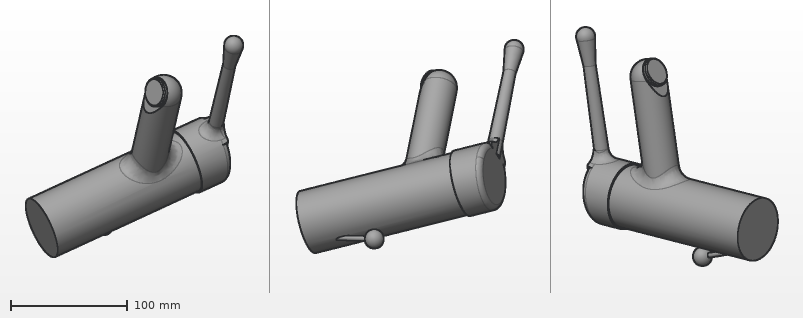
import cadquery as cq
import math

BODY_RADIUS = 27.6
CAP_START = 142.5
CAP_RADIUS = 29.13
CAP_END = 172.0
CAP_EDGE_FILLET = 5.0

TILT = 10.0

SPOUT_RADIUS = 15.6
DOME_Y = 121.0
DOME_Z = 112.7
SPOUT_FILLET = 13.0
OUTLET_Y = 114.7
OUTLET_Z = 117.7
OUTLET_RISE = 32.5
AERATOR_RADIUS = 12.5
AERATOR_HEIGHT = 3.8
AERATOR_CHAMFER = 1.2

BALL_RADIUS = 8.4
LEVER_BALL_Y = 190.5
LEVER_BALL_Z = 134.5
GRIP_LENGTH = 25.0
LEVER_NECK_RADIUS = 5.47
LEVER_LENGTH = 99.5
LEVER_BASE_RADIUS = 6.4
LEVER_ROOT = 16.0
FLARE_RADIUS = 10.0

PULL_BALL_Y = 61.2
PULL_BALL_Z = -37.4
PULL_ROD_RADIUS = 2.2
PULL_ROD_LENGTH = 47.7
PULL_RISE = 19.0

CUTTER_SIZE = 159.0

SPOUT_EDGE_BOX = cq.selectors.BoxSelector((-39.8, 39.8, 4), (39.8, 139.2, 39.8))
FOOT_EDGE_BOX = cq.selectors.BoxSelector((-12, 159, 19.9), (12, 188.9, 35.8))


def mid_plane(y, z, rise, toward_y):
    """Plane centred in X whose normal climbs at the rise angle towards +Y (1) or -Y (-1)."""
    angle = math.radians(rise)
    normal = (0, toward_y * math.cos(angle), math.sin(angle))
    return cq.Plane(origin=(0, y, z), xDir=(1, 0, 0), normal=normal)


def half_space(plane):
    """Large block filling the side of the plane that its normal points to."""
    return cq.Workplane(plane).rect(CUTTER_SIZE, CUTTER_SIZE).extrude(CUTTER_SIZE)


def ball(y, z, radius):
    return cq.Workplane("XY").sphere(radius).translate((0, y, z))


def make_body():
    front = cq.Workplane("XZ")
    return front.circle(BODY_RADIUS).extrude(-CAP_START)


def make_spout_body():
    """Body with the domed spout blended into it, cut flat at the outlet."""
    axis_plane = mid_plane(DOME_Y, DOME_Z, 90 - TILT, 1)
    length = DOME_Z / math.cos(math.radians(TILT))
    stem = cq.Workplane(axis_plane).circle(SPOUT_RADIUS).extrude(-length)
    joined = make_body().union(stem)
    joined = joined.edges(SPOUT_EDGE_BOX).edges("not %LINE").fillet(SPOUT_FILLET)
    joined = joined.union(ball(DOME_Y, DOME_Z, SPOUT_RADIUS))

    outlet_plane = mid_plane(OUTLET_Y, OUTLET_Z, OUTLET_RISE, -1)
    aerator = cq.Workplane(outlet_plane).circle(AERATOR_RADIUS).extrude(AERATOR_HEIGHT)
    aerator = aerator.faces(cq.selectors.DirectionMinMaxSelector(outlet_plane.zDir)).chamfer(AERATOR_CHAMFER)
    return joined.cut(half_space(outlet_plane)).union(aerator)


def make_cap_blank():
    """Plain cap cylinder, long enough to be trimmed by the sloped end face."""
    return cq.Workplane("XZ", origin=(0, CAP_START, 0)).circle(CAP_RADIUS).extrude(-CUTTER_SIZE / 2)


def make_cap(end_plane):
    cap = make_cap_blank().cut(half_space(end_plane))
    return cap.faces(">Y").edges().fillet(CAP_EDGE_FILLET)


def make_lever_foot(axis_plane, end_plane):
    """Flared blend between the lever and the cap, flush with the cap end face."""
    stub = cq.Workplane(axis_plane).circle(LEVER_BASE_RADIUS).extrude(-LEVER_LENGTH - LEVER_ROOT)
    blank = make_cap_blank().union(stub)
    blank = blank.edges(FOOT_EDGE_BOX).edges("not %LINE").fillet(FLARE_RADIUS)
    blank = blank.cut(half_space(end_plane))
    foot_zone = (
        cq.Workplane(axis_plane)
        .workplane(offset=-LEVER_LENGTH - LEVER_ROOT)
        .circle(LEVER_BASE_RADIUS + FLARE_RADIUS)
        .extrude(LEVER_ROOT)
    )
    return blank.intersect(foot_zone)


def make_lever(end_plane):
    """Tapered lever with a widening grip, a ball end and a flared foot."""
    axis_plane = mid_plane(LEVER_BALL_Y, LEVER_BALL_Z, 90 - TILT, 1)
    profile_plane = cq.Plane(
        origin=(0, LEVER_BALL_Y, LEVER_BALL_Z),
        xDir=(1, 0, 0),
        normal=cq.Vector(1, 0, 0).cross(axis_plane.zDir),
    )
    bottom = -LEVER_LENGTH - LEVER_ROOT
    stick = (
        cq.Workplane(profile_plane)
        .lineTo(BALL_RADIUS, 0)
        .lineTo(LEVER_NECK_RADIUS, -GRIP_LENGTH)
        .lineTo(LEVER_BASE_RADIUS, -LEVER_LENGTH)
        .lineTo(LEVER_BASE_RADIUS, bottom)
        .lineTo(0, bottom)
        .close()
        .revolve(360, (0, 0, 0), (0, 1, 0))
    )
    foot = make_lever_foot(axis_plane, end_plane)
    return stick.union(foot).union(ball(LEVER_BALL_Y, LEVER_BALL_Z, BALL_RADIUS))


def make_pull_rod():
    rod_plane = mid_plane(PULL_BALL_Y, PULL_BALL_Z, PULL_RISE, -1)
    rod = cq.Workplane(rod_plane).circle(PULL_ROD_RADIUS).extrude(PULL_ROD_LENGTH)
    return rod.union(ball(PULL_BALL_Y, PULL_BALL_Z, BALL_RADIUS))


cap_end_plane = mid_plane(CAP_END, 0, -TILT, 1)
result = (
    make_spout_body()
    .union(make_cap(cap_end_plane))
    .union(make_lever(cap_end_plane))
    .union(make_pull_rod())
)